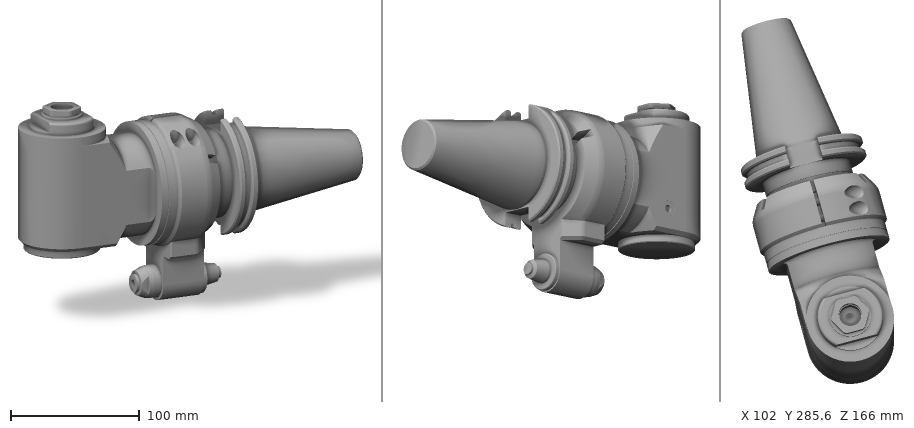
import cadquery as cq
import math


taper_length = 101.75
taper_gauge_radius = 69.85 / 2
taper_ratio = 7 / 24
taper_small_radius = taper_gauge_radius - taper_length * taper_ratio / 2
taper_end_chamfer = 1.4
gripper_top_y = -2.8
gripper_bottom_y = -18.9
gripper_radius = 97.5 / 2
gripper_chamfer = 1.1
groove_mid_y = -10.9
groove_mouth_half = 2.6
groove_floor_half = 2.3
groove_floor_radius = 45.0
key_slot_width = 26.4
key_slot_floor = 35.3

journal_radius = 35.0
relief_top_y = -29.5
relief_depth = 1.0
relief_end_y = -33.0
shank_end_y = -41.6
shank_gap = 1.0
ring_top_y = -34.2
ring_bottom_y = -73.0

stop_radius = 48.75
stop_groove_y = -80.5
stop_groove_width = 0.9
stop_groove_depth = 0.6
stop_bottom_y = -86.8
neck_radius = 40.5
neck_end_y = -110.6
neck_flare = 1.15
neck_fillet = 4.0

total_length = 285.6
total_bottom_y = taper_length - total_length
head_radius = 34.1
head_y = total_bottom_y + head_radius
head_top_z = 53.7
block_top_z = 46.4
head_bottom_z = -38.7
head_bottom_chamfer = 3.0
cap_radius = 30.0
cap_bottom_z = -44.6
cap_chamfer = 0.7
port_y = -131.0
port_z = -20.0
port_seat_diameter = 12.5
port_seat_depth = 0.3
port_diameter = 6.0
port_depth = 3.0

nose_radius = 25.4
nose_lip_z = 55.5
nose_top_z = 63.2
nose_fillet = 2.0
nose_flats = 38.0
nut_base_radius = 16.2
nut_base_top_z = 64.8
nut_neck_radius = 13.2
nut_hex_bottom_z = 65.8
nut_hex_flats = 27.0
nut_hex_radius = 15.0
nut_top_z = 70.0
nut_bore_diameter = 18.0
nut_bore_depth = 5.0
collet_bore_diameter = 17.0
collet_bore_depth = 13.0
centre_diameter = 8.0
centre_angle = 118.0

ring_radius = 51.0
ring_top_radius = 44.2
ring_bevel_angle = 30.0
ring_bevel_fillet = 10.0
ring_bottom_chamfer = 2.4
slit_width = 3.0
screw_ys = (-51.3, -64.5)
screw_z = 40.5
screw_seat_x = 22.0
screw_seat_diameter = 11.0
screw_diameter = 6.0
hook_slot_width = 7.0
hook_slot_bottom_y = -43.5
hook_slot_angles = (31.0, 149.0)

arm_bottom_y = -69.4
arm_radius = 15.0
arm_z = -81.0
wing_half_width = 28.9
wing_bottom_z = -57.0
wing_bottom_chamfer = 2.5
wing_end_chamfer = 1.0
wing_bevel_y = -46.0
wing_bevel_angle = 45.0
wing_bevel_fillet = 6.5

pin_z = -80.5
pin_core_radius = 9.0
pin_tip_y = -13.9
pin_tip_radius = 4.6
pin_tip_step_y = -16.0
pin_cone_top_y = -17.2
pin_cone_top_radius = 7.4
pin_cone_bottom_y = -28.3
pin_cone_bottom_radius = 9.2
pin_collar_top_y = -30.2
pin_collar_radius = 14.4
pin_collar_chamfer = 0.6
pin_head_radius = 13.0
pin_head_straight_y = -75.8
pin_head_bevel_y = -79.5
pin_head_bevel_radius = 12.4
pin_head_end_y = -85.7
pin_head_end_radius = 9.9
pin_end_y = -88.2
pin_end_radius = 7.2
pin_flats = 20.0
pin_socket_diameter = 6.5
pin_socket_depth = 3.0


def box(x0, x1, y0, y1, z0, z1):
    """Box between two corners."""
    return cq.Workplane("XY").box(x1 - x0, y1 - y0, z1 - z0, centered=False).translate((x0, y0, z0))


def turned_on_y(points):
    """Solid of revolution about the Y axis from (radius, y) points."""
    return cq.Workplane("XY").polyline(points).close().revolve(360, (0, 0), (0, 1))


def disc_z(radius, z0, z1, y=head_y):
    """Vertical cylinder on the head axis."""
    return cq.Workplane("XY", origin=(0, y, z0)).circle(radius).extrude(z1 - z0)


def rod_x(diameter, x0, x1, y, z):
    """Cylinder along X."""
    return cq.Workplane("YZ", origin=(x0, y, z)).circle(diameter / 2).extrude(x1 - x0)


def make_shank():
    """Rotating taper shank with its gripper flange and two key slots."""
    mouth_top = groove_mid_y + groove_mouth_half
    mouth_bottom = groove_mid_y - groove_mouth_half
    rim = gripper_radius - gripper_chamfer
    shank = turned_on_y([
        (0, taper_length),
        (taper_small_radius - taper_end_chamfer, taper_length),
        (taper_small_radius, taper_length - taper_end_chamfer),
        (taper_gauge_radius, 0),
        (taper_gauge_radius, gripper_top_y),
        (rim, gripper_top_y),
        (gripper_radius, gripper_top_y - gripper_chamfer),
        (gripper_radius, mouth_top + gripper_chamfer),
        (rim, mouth_top),
        (groove_floor_radius, groove_mid_y + groove_floor_half),
        (groove_floor_radius, groove_mid_y - groove_floor_half),
        (rim, mouth_bottom),
        (gripper_radius, mouth_bottom - gripper_chamfer),
        (gripper_radius, gripper_bottom_y + gripper_chamfer),
        (rim, gripper_bottom_y),
        (journal_radius, gripper_bottom_y),
        (journal_radius, relief_top_y),
        (journal_radius - relief_depth, relief_top_y),
        (journal_radius, relief_end_y),
        (journal_radius, shank_end_y),
        (0, shank_end_y),
    ])
    key_slot = box(-key_slot_width / 2, key_slot_width / 2, gripper_bottom_y, gripper_top_y,
                   key_slot_floor, gripper_radius + 1)
    return shank.cut(key_slot).cut(key_slot.mirror("XY"))


def make_stop_flange():
    """Journal that carries the clamp ring and the flange the ring rests against."""
    groove_radius = stop_radius - stop_groove_depth
    groove_end_y = stop_groove_y - stop_groove_width
    return turned_on_y([
        (0, shank_end_y - shank_gap),
        (journal_radius, shank_end_y - shank_gap),
        (journal_radius, ring_bottom_y),
        (stop_radius, ring_bottom_y),
        (stop_radius, stop_groove_y),
        (groove_radius, stop_groove_y),
        (groove_radius, groove_end_y),
        (stop_radius, groove_end_y),
        (stop_radius, stop_bottom_y),
        (0, stop_bottom_y),
    ])


def make_head_block():
    """Round neck flaring into a flat-sided block that ends in the head cylinder."""
    flare_radius = neck_radius + neck_flare * (neck_end_y - total_bottom_y)
    flare = turned_on_y([
        (0, stop_groove_y),
        (neck_radius, stop_groove_y),
        (neck_radius, neck_end_y),
        (flare_radius, total_bottom_y),
        (0, total_bottom_y),
    ])
    wide = head_radius + neck_fillet
    fillet_end_y = stop_bottom_y - neck_fillet
    prism = (
        cq.Workplane("XY", origin=(0, 0, head_bottom_z))
        .moveTo(-wide, stop_groove_y)
        .lineTo(wide, stop_groove_y)
        .lineTo(wide, stop_bottom_y)
        .radiusArc((head_radius, fillet_end_y), -neck_fillet)
        .lineTo(head_radius, head_y)
        .lineTo(-head_radius, head_y)
        .lineTo(-head_radius, fillet_end_y)
        .radiusArc((-wide, stop_bottom_y), -neck_fillet)
        .close()
        .extrude(block_top_z - head_bottom_z)
        .faces("<Z").edges("not(<Y or >Y)").chamfer(head_bottom_chamfer)
    )
    return flare.intersect(prism)


def make_housing():
    """Stop flange, neck and angle head with its closing cap and side port."""
    head = disc_z(head_radius, head_bottom_z, head_top_z).faces("<Z").chamfer(head_bottom_chamfer)
    cap = disc_z(cap_radius, cap_bottom_z, head_bottom_z).faces("<Z").chamfer(cap_chamfer)
    body = make_stop_flange().union(make_head_block()).union(head).union(cap)
    port_seat = rod_x(port_seat_diameter, -head_radius, -head_radius + port_seat_depth, port_y, port_z)
    port = rod_x(port_diameter, -head_radius, -head_radius + port_depth, port_y, port_z)
    return body.cut(port_seat).cut(port)


def make_spindle():
    """Spindle nose with two wrench flats, carrying the hexagonal collet nut."""
    nose = disc_z(nose_radius, head_top_z, nose_top_z).faces(">Z").fillet(nose_fillet)
    for side in (-1, 1):
        y_flat = head_y + side * nose_flats / 2
        y_out = head_y + side * (nose_radius + 1)
        nose = nose.cut(box(-nose_radius, nose_radius, min(y_flat, y_out), max(y_flat, y_out),
                            nose_lip_z, nose_top_z))
    nut_base = disc_z(nut_base_radius, nose_top_z, nut_base_top_z)
    nut_neck = disc_z(nut_neck_radius, nut_base_top_z, nut_hex_bottom_z)
    hexagon = (
        cq.Workplane("XY", origin=(0, head_y, nut_hex_bottom_z))
        .polygon(6, nut_hex_flats / math.cos(math.pi / 6))
        .extrude(nut_top_z - nut_hex_bottom_z)
    )
    hexagon = hexagon.intersect(disc_z(nut_hex_radius, nut_hex_bottom_z, nut_top_z))
    bore_floor_z = nut_top_z - collet_bore_depth
    bore = disc_z(nut_bore_diameter / 2, nut_top_z - nut_bore_depth, nut_top_z)
    bore = bore.union(disc_z(collet_bore_diameter / 2, bore_floor_z, nut_top_z))
    centre_depth = centre_diameter / 2 / math.tan(math.radians(centre_angle / 2))
    centre = cq.Workplane(cq.Solid.makeCone(
        centre_diameter / 2, 0, centre_depth, cq.Vector(0, head_y, bore_floor_z), cq.Vector(0, 0, -1)))
    return nose.union(nut_base).union(nut_neck).union(hexagon).cut(bore).cut(centre)


def make_stop_pin():
    """Turned stop pin set in the arm, with wrench flats and a socket on its head."""
    pin = turned_on_y([
        (0, pin_tip_y),
        (pin_tip_radius, pin_tip_y),
        (pin_tip_radius, pin_tip_step_y),
        (pin_cone_top_radius, pin_cone_top_y),
        (pin_cone_bottom_radius, pin_cone_bottom_y),
        (pin_cone_bottom_radius, pin_collar_top_y),
        (pin_collar_radius - pin_collar_chamfer, pin_collar_top_y),
        (pin_collar_radius, pin_collar_top_y - pin_collar_chamfer),
        (pin_collar_radius, ring_top_y),
        (pin_core_radius, ring_top_y),
        (pin_core_radius, arm_bottom_y),
        (pin_head_radius, arm_bottom_y),
        (pin_head_radius, pin_head_straight_y),
        (pin_head_bevel_radius, pin_head_bevel_y),
        (pin_head_end_radius, pin_head_end_y),
        (pin_end_radius, pin_head_end_y),
        (pin_end_radius, pin_end_y),
        (0, pin_end_y),
    ])
    flat = box(pin_flats / 2, pin_head_radius, pin_end_y, pin_head_bevel_y, -pin_head_radius, pin_head_radius)
    socket = cq.Workplane("XZ", origin=(0, pin_end_y + pin_socket_depth, 0)).circle(pin_socket_diameter / 2)
    pin = pin.cut(flat).cut(flat.mirror("YZ")).cut(socket.extrude(pin_socket_depth))
    return pin.translate((0, 0, pin_z))


def make_arm():
    """Winged root under the ring and the round-ended arm with the stop pin."""
    bevel = (ring_top_y - wing_bevel_y) * math.tan(math.radians(wing_bevel_angle))
    wing_top = wing_half_width - bevel
    wings = (
        cq.Workplane("XY", origin=(0, 0, wing_bottom_z))
        .polyline([
            (-wing_half_width, arm_bottom_y),
            (wing_half_width, arm_bottom_y),
            (wing_half_width, wing_bevel_y),
            (wing_top, ring_top_y),
            (-wing_top, ring_top_y),
            (-wing_half_width, wing_bevel_y),
        ])
        .close()
        .extrude(-wing_bottom_z)
    )
    wings = wings.edges("|Z and <Y").chamfer(wing_end_chamfer)
    bevel_corners = cq.selectors.BoxSelector(
        (-ring_radius, wing_bevel_y - 1, wing_bottom_z - 1), (ring_radius, wing_bevel_y + 1, 1))
    wings = wings.edges("|Z").edges(bevel_corners).fillet(wing_bevel_fillet)
    wings = wings.faces("<Z").edges("not(<Y or >Y)").chamfer(wing_bottom_chamfer)

    arm_length = ring_top_y - arm_bottom_y
    stem = box(-arm_radius, arm_radius, arm_bottom_y, ring_top_y, arm_z, 0)
    tip = cq.Workplane("XZ", origin=(0, ring_top_y, arm_z)).circle(arm_radius).extrude(arm_length)
    return wings.union(stem).union(tip).union(make_stop_pin())


def make_clamp_ring():
    """Slit clamp ring with its two screws, hook-spanner slots and the arm with the stop pin."""
    bevel_length = (ring_radius - ring_top_radius) / math.tan(math.radians(ring_bevel_angle))
    bevel_y = ring_top_y - bevel_length
    ring = turned_on_y([
        (0, ring_top_y),
        (ring_top_radius, ring_top_y),
        (ring_radius, bevel_y),
        (ring_radius, ring_bottom_y + ring_bottom_chamfer),
        (ring_radius - ring_bottom_chamfer, ring_bottom_y),
        (0, ring_bottom_y),
    ])
    bevel_edge = cq.selectors.BoxSelector(
        (-ring_radius - 1, bevel_y - 1, -ring_radius - 1), (ring_radius + 1, bevel_y + 1, ring_radius + 1),
        boundingbox=True)
    ring = ring.edges(bevel_edge).fillet(ring_bevel_fillet)
    ring = ring.union(make_arm())
    bore = cq.Workplane("XZ", origin=(0, ring_top_y, 0)).circle(journal_radius)
    ring = ring.cut(bore.extrude(ring_top_y - ring_bottom_y))
    ring = ring.cut(box(-slit_width / 2, slit_width / 2, ring_bottom_y, ring_top_y, 0, ring_radius + 1))
    for y in screw_ys:
        ring = ring.cut(rod_x(screw_seat_diameter, screw_seat_x, ring_radius, y, screw_z))
        ring = ring.union(rod_x(screw_diameter, -slit_width / 2, slit_width / 2, y, screw_z))
    for angle in hook_slot_angles:
        slot = box(0, ring_radius + 1, hook_slot_bottom_y, ring_top_y,
                   -hook_slot_width / 2, hook_slot_width / 2)
        ring = ring.cut(slot.rotate((0, 0, 0), (0, 1, 0), -angle))
    return ring


shank = make_shank()
housing = make_housing()
clamp_ring = make_clamp_ring()
spindle = make_spindle()

result = cq.Compound.makeCompound([shank.val(), housing.val(), clamp_ring.val(), spindle.val()])